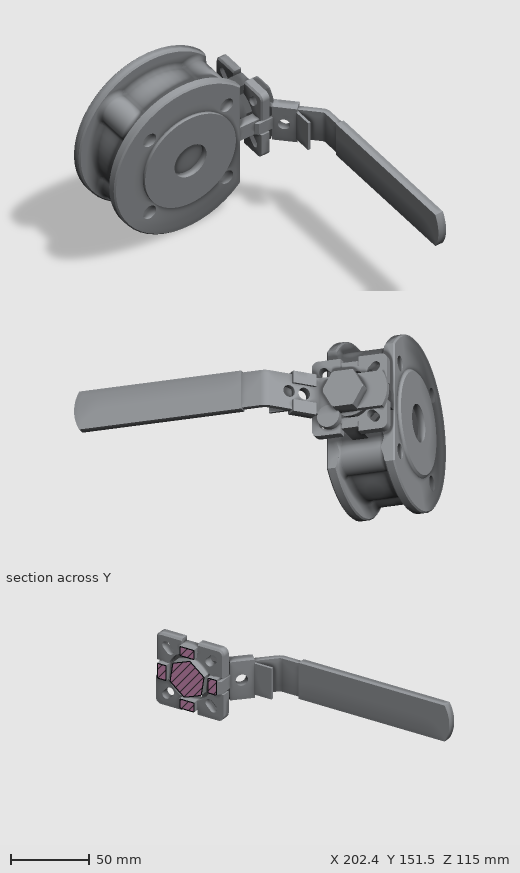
import cadquery as cq
import math


OVERLAP = 1.0

FLANGE_RADIUS = 57.5
FLANGE_OUTER_X = 23.0
FLANGE_THICKNESS = 7.0
FLANGE_INNER_X = FLANGE_OUTER_X - FLANGE_THICKNESS
FLANGE_CHAMFER = 1.0
FLAT_Y = 41.2
BARREL_RADIUS = 45.0
VALLEY_FILLET = 3.3
ROOT_FILLET = 2.9
BOLT_CIRCLE = 85.0
BOLT_HOLE_DIAMETER = 10.11
BOLT_LOBE_RADIUS = 11.0
FACE_RADIUS = 71.0 / 2
INLET_FACE_X = -24.8
INLET_FACE_CHAMFER = 2.0
OUTLET_FACE_X = 25.5
BORE_DIAMETER = 25.0
BORE_DEPTH = 5.0

PLATE_SIZE = 51.0
PLATE_BOTTOM_Y = 55.5
PLATE_TOP_Y = 61.8
PLATE_CORNER_RADIUS = 4.0
PLATE_CHAMFER = 1.2
PLATE_HOLE_DIAMETER = 33.0
POST_WIDTH = 11.0
POST_INNER = 15.5
POST_OUTER = 22.4
NOTCH_WIDTH = 12.0
NOTCH_FLOOR = 19.0
SLOT_WIDTH = 6.0
SLOT_INNER_RADIUS = 42.0 / 2
SLOT_OUTER_RADIUS = 50.0 / 2

HUB_DIAMETER = 33.0
HUB_TOP_Y = 44.1
NECK_DIAMETER = 15.09
COLLAR_DIAMETER = 29.36
COLLAR_BOTTOM_Y = 47.1
COLLAR_TOP_Y = 52.0
NUT_ACROSS_CORNERS = 27.8
GLAND_NUT_TURN = 39.0
NUT_TOP_Y = 75.1
NUT_CHAMFER = 0.6

LEVER_THICKNESS = 4.0
LEVER_WIDTH = 24.0
LEVER_START_X = -27.3
LEVER_LOW_TOP_Y = 66.8
LEVER_HIGH_TOP_Y = 92.98
LEVER_BEND_X = 19.6
LEVER_BEND_ANGLE = 45.0
LEVER_BEND_INNER_RADIUS = 3.0
END_SAGITTA = 3.5
GRIP_START_X = 61.75
GRIP_END_X = 175.12
GRIP_WIDTH = 26.0
GRIP_THICKNESS = 6.0
LUG_DIAMETER = 15.0
LUG_X = 12.5
LUG_Z = -14.8
LUG_BOTTOM_Y = 62.4
LUG_TOP_Y = 67.4

SLIDER_LENGTH = 16.3
SLIDER_THICKNESS = 7.7
SLIDER_WIDTH = 27.5
SLIDER_START = 1.9
SLIDER_SLOT_WIDTH = 11.4
LOCK_HOLE_DIAMETER = 8.0
LOCK_HOLE_OFFSETS = (9.6, 20.3)
TAB_START_X = 34.0
TAB_END_X = 49.3
TAB_BOTTOM_Y = 75.0
TAB_THICKNESS = 1.8
TAB_WIDTH = 22.4
LATCH_INNER_X = 23.2
LATCH_OUTER_X = 25.4
LATCH_CHAMFER = 1.8
LATCH_BOTTOM_Y = 51.6
LATCH_TOP_Y = 66.0
LATCH_WIDTH = 9.0

LEVER_LOW_BOTTOM_Y = LEVER_LOW_TOP_Y - LEVER_THICKNESS


def box(x_range, y_range, z_range):
    """Axis-aligned block between the given limits."""
    size = [high - low for low, high in (x_range, y_range, z_range)]
    corner = (x_range[0], y_range[0], z_range[0])
    return cq.Workplane("XY").box(*size, centered=False).translate(corner)


def along_bore(x_start):
    """Work plane square to the bore: local axes are Y and Z, extruding toward +X."""
    return cq.Workplane("YZ", origin=(x_start, 0, 0))


def along_stem(y_top):
    """Work plane square to the stem: local axes are X and Z, extruding toward -Y."""
    return cq.Workplane("XZ", origin=(0, y_top, 0))


def stem_disc(diameter, y_bottom, y_top):
    """Cylinder about the stem axis."""
    return along_stem(y_top).circle(diameter / 2).extrude(y_top - y_bottom)


def stem_hexagon(y_bottom, y_top):
    """Hexagonal prism about the stem axis with corners on +X and -X."""
    return along_stem(y_top).polygon(6, NUT_ACROSS_CORNERS).extrude(y_top - y_bottom)


def bolt_points():
    """Y, Z places of the four bolt holes."""
    offset = BOLT_CIRCLE / 2 * math.sqrt(0.5)
    return [(y, z) for y in (-offset, offset) for z in (-offset, offset)]


def centred_selector(half_x, half_yz, whole_edge):
    """Select edges inside a box about the origin, by their middle or as a whole."""
    low = (-half_x, -half_yz, -half_yz)
    high = (half_x, half_yz, half_yz)
    return cq.selectors.BoxSelector(low, high, boundingbox=whole_edge)


def make_barrel():
    """Drum between the flanges, bulging around each bolt hole."""
    length = 2 * FLANGE_INNER_X
    plane = along_bore(-FLANGE_INNER_X)
    barrel = plane.circle(BARREL_RADIUS).extrude(length)
    for y, z in bolt_points():
        barrel = barrel.union(plane.moveTo(y, z).circle(BOLT_LOBE_RADIUS).extrude(length))
    valleys = centred_selector(OVERLAP, FLANGE_RADIUS, False)
    return barrel.edges("|X").edges(valleys).fillet(VALLEY_FILLET)


def make_flat_cutter():
    """Cutter for the flat on the stem side, with its outer edges bevelled."""
    outer_x = FLANGE_OUTER_X + FLANGE_CHAMFER
    profile = [
        (-outer_x, FLAT_Y - 2 * FLANGE_CHAMFER),
        (-FLANGE_OUTER_X + FLANGE_CHAMFER, FLAT_Y),
        (FLANGE_OUTER_X - FLANGE_CHAMFER, FLAT_Y),
        (outer_x, FLAT_Y - 2 * FLANGE_CHAMFER),
        (outer_x, 2 * FLANGE_RADIUS),
        (-outer_x, 2 * FLANGE_RADIUS),
    ]
    return cq.Workplane("XY").polyline(profile).close().extrude(FLANGE_RADIUS, both=True)


def make_body():
    """Barrel with two flanges, raised faces, blind bores and bolt holes."""
    body = make_barrel()
    for x_start in (-FLANGE_OUTER_X, FLANGE_INNER_X):
        flange = along_bore(x_start).circle(FLANGE_RADIUS).extrude(FLANGE_THICKNESS)
        body = body.union(flange.faces("<X or >X").chamfer(FLANGE_CHAMFER))
    barrel_reach = BARREL_RADIUS + ROOT_FILLET
    roots = centred_selector(FLANGE_INNER_X + OVERLAP, barrel_reach, True)
    body = body.edges(roots).edges("not |X").fillet(ROOT_FILLET)
    body = body.cut(make_flat_cutter())

    inlet_height = -FLANGE_OUTER_X - INLET_FACE_X
    inlet = along_bore(INLET_FACE_X).circle(FACE_RADIUS).extrude(inlet_height + OVERLAP)
    inlet = inlet.faces("<X").chamfer(INLET_FACE_CHAMFER)
    outlet_height = OUTLET_FACE_X - FLANGE_OUTER_X
    outlet = along_bore(FLANGE_OUTER_X).circle(FACE_RADIUS).extrude(outlet_height)
    body = body.union(inlet).union(outlet)

    for x_start in (INLET_FACE_X, OUTLET_FACE_X - BORE_DEPTH):
        body = body.cut(along_bore(x_start).circle(BORE_DIAMETER / 2).extrude(BORE_DEPTH))
    holes = along_bore(-FLANGE_OUTER_X).pushPoints(bolt_points())
    return body.cut(holes.circle(BOLT_HOLE_DIAMETER / 2).extrude(2 * FLANGE_OUTER_X))


def make_plate():
    """Square mounting plate; the outline is chamfered underneath on the +Z half."""
    thickness = PLATE_TOP_Y - PLATE_BOTTOM_Y
    plain = along_stem(PLATE_TOP_Y).rect(PLATE_SIZE, PLATE_SIZE).extrude(thickness)
    plain = plain.edges("|Y").fillet(PLATE_CORNER_RADIUS)
    chamfered = plain.faces("<Y").chamfer(PLATE_CHAMFER)
    side = (-PLATE_SIZE, PLATE_SIZE)
    height = (PLATE_BOTTOM_Y, PLATE_TOP_Y)
    plate = plain.intersect(box(side, height, (-PLATE_SIZE, 0)))
    plate = plate.union(chamfered.intersect(box(side, height, (0, PLATE_SIZE))))

    slot_length = SLOT_OUTER_RADIUS - SLOT_INNER_RADIUS + SLOT_WIDTH
    slot_middle = (SLOT_OUTER_RADIUS + SLOT_INNER_RADIUS) / 2
    slot = along_stem(PLATE_TOP_Y).moveTo(slot_middle, 0).slot2D(slot_length, SLOT_WIDTH)
    slot = slot.extrude(thickness)
    plate = plate.cut(stem_disc(PLATE_HOLE_DIAMETER, PLATE_BOTTOM_Y, PLATE_TOP_Y))
    half_notch = NOTCH_WIDTH / 2
    notch = box((NOTCH_FLOOR, PLATE_SIZE), height, (-half_notch, half_notch))
    for quarter in range(4):
        turn = 90 * quarter
        plate = plate.cut(notch.rotate((0, 0, 0), (0, 1, 0), turn))
        plate = plate.cut(slot.rotate((0, 0, 0), (0, 1, 0), turn + 45))
    return plate


def make_mount():
    """Mounting plate on four posts that stand on the flat of the body."""
    mount = make_plate()
    half_width = POST_WIDTH / 2
    post = box((POST_INNER, POST_OUTER), (FLAT_Y - OVERLAP, PLATE_TOP_Y), (-half_width, half_width))
    for quarter in range(4):
        mount = mount.union(post.rotate((0, 0, 0), (0, 1, 0), 90 * quarter))
    return mount


def make_stem():
    """Hub, neck, collar and gland nut under the plate, lever nut on top."""
    hub = stem_disc(HUB_DIAMETER, FLAT_Y - OVERLAP, HUB_TOP_Y)
    neck = stem_disc(NECK_DIAMETER, HUB_TOP_Y, LEVER_LOW_TOP_Y)
    collar = stem_disc(COLLAR_DIAMETER, COLLAR_BOTTOM_Y, COLLAR_TOP_Y)
    washer = stem_disc(COLLAR_DIAMETER, PLATE_TOP_Y, LEVER_LOW_BOTTOM_Y)
    gland = stem_hexagon(COLLAR_TOP_Y, PLATE_TOP_Y)
    gland = gland.rotate((0, 0, 0), (0, 1, 0), GLAND_NUT_TURN)
    nut = stem_hexagon(LEVER_LOW_TOP_Y, NUT_TOP_Y)
    crown = stem_disc(NUT_ACROSS_CORNERS, LEVER_LOW_TOP_Y, NUT_TOP_Y)
    nut = nut.intersect(crown.faces(">Y").chamfer(NUT_CHAMFER))
    return hub.union(neck).union(collar).union(washer).union(gland).union(nut)


def round_bends(bar, points, radius):
    """Fillet the edges of the bar that run along Z through the given XY points."""
    for x, y in points:
        bend = cq.selectors.NearestToPointSelector((x, y, 0))
        bar = bar.edges(bend).fillet(radius)
    return bar


def make_lever_bar():
    """Cranked flat bar with an arched end behind the stem."""
    half_angle = math.radians(LEVER_BEND_ANGLE / 2)
    rise = LEVER_HIGH_TOP_Y - LEVER_LOW_TOP_Y
    high_bend_x = LEVER_BEND_X + rise / math.tan(2 * half_angle)
    bend_shift = LEVER_THICKNESS * math.tan(half_angle)
    high_bottom_y = LEVER_HIGH_TOP_Y - LEVER_THICKNESS
    side_profile = [
        (LEVER_START_X, LEVER_LOW_TOP_Y),
        (LEVER_BEND_X, LEVER_LOW_TOP_Y),
        (high_bend_x, LEVER_HIGH_TOP_Y),
        (GRIP_START_X, LEVER_HIGH_TOP_Y),
        (GRIP_START_X, high_bottom_y),
        (high_bend_x + bend_shift, high_bottom_y),
        (LEVER_BEND_X + bend_shift, LEVER_LOW_BOTTOM_Y),
        (LEVER_START_X, LEVER_LOW_BOTTOM_Y),
    ]
    bar = cq.Workplane("XY").polyline(side_profile).close().extrude(LEVER_WIDTH / 2, both=True)
    inner_bends = [side_profile[1], side_profile[5]]
    outer_bends = [side_profile[2], side_profile[6]]
    bar = round_bends(bar, inner_bends, LEVER_BEND_INNER_RADIUS)
    bar = round_bends(bar, outer_bends, LEVER_BEND_INNER_RADIUS + LEVER_THICKNESS)
    outline = rounded_strip(LEVER_WIDTH, GRIP_START_X, LEVER_START_X, LEVER_LOW_BOTTOM_Y, LEVER_HIGH_TOP_Y)
    return bar.intersect(outline)


def rounded_strip(width, square_x, tip_x, y_bottom, y_top):
    """Strip along X with a square end and an arched end."""
    half = width / 2
    arch_x = tip_x - math.copysign(END_SAGITTA, tip_x)
    outline = along_stem(y_top).moveTo(square_x, half).lineTo(arch_x, half)
    outline = outline.threePointArc((tip_x, 0), (arch_x, -half)).lineTo(square_x, -half)
    return outline.close().extrude(y_top - y_bottom)


def make_grip():
    """Flat sleeve over the end of the lever bar."""
    middle_y = LEVER_HIGH_TOP_Y - LEVER_THICKNESS / 2
    bottom_y = middle_y - GRIP_THICKNESS / 2
    top_y = middle_y + GRIP_THICKNESS / 2
    return rounded_strip(GRIP_WIDTH, GRIP_START_X, GRIP_END_X, bottom_y, top_y)


def make_stop_lug():
    """Round lug at the -Z side of the lever."""
    sketch = along_stem(LUG_TOP_Y).moveTo(LUG_X, LUG_Z).circle(LUG_DIAMETER / 2)
    return sketch.extrude(LUG_TOP_Y - LUG_BOTTOM_Y)


def slope_plane():
    """Work plane at the lower bend: local x runs up the slope, local y is square to it."""
    angle = math.radians(LEVER_BEND_ANGLE)
    origin = (LEVER_BEND_X, LEVER_LOW_TOP_Y, 0)
    return cq.Plane(origin=origin, xDir=(math.cos(angle), math.sin(angle), 0), normal=(0, 0, 1))


def on_slope(length, thickness, width, start, bottom):
    """Block lying along the slope of the lever."""
    centre = (start + length / 2, bottom + thickness / 2)
    sketch = cq.Workplane(slope_plane()).center(*centre).rect(length, thickness)
    return sketch.extrude(width / 2, both=True)


def lock_hole(offset):
    """Cutter for a padlock hole square to the slope."""
    start = slope_plane().toWorldCoords((offset, -SLIDER_THICKNESS, 0))
    hole_plane = cq.Plane(origin=start.toTuple(), xDir=(0, 0, 1), normal=slope_plane().yDir.toTuple())
    return cq.Workplane(hole_plane).circle(LOCK_HOLE_DIAMETER / 2).extrude(2 * SLIDER_THICKNESS)


def make_slider():
    """Locking sleeve with a top slot, a finger tab and a latch reaching into the plate notch."""
    wall = (SLIDER_THICKNESS - LEVER_THICKNESS) / 2
    bottom = -LEVER_THICKNESS - wall
    slider = on_slope(SLIDER_LENGTH, SLIDER_THICKNESS, SLIDER_WIDTH, SLIDER_START, bottom)
    slider = slider.cut(on_slope(SLIDER_LENGTH, wall, SLIDER_SLOT_WIDTH, SLIDER_START, 0))
    passage = on_slope(SLIDER_LENGTH, LEVER_THICKNESS, LEVER_WIDTH, SLIDER_START, -LEVER_THICKNESS)
    slider = slider.cut(passage)
    tab_height = (TAB_BOTTOM_Y, TAB_BOTTOM_Y + TAB_THICKNESS)
    tab = box((TAB_START_X, TAB_END_X), tab_height, (-TAB_WIDTH / 2, TAB_WIDTH / 2))
    latch_height = (LATCH_BOTTOM_Y, LATCH_TOP_Y)
    latch = box((LATCH_INNER_X, LATCH_OUTER_X), latch_height, (-LATCH_WIDTH / 2, LATCH_WIDTH / 2))
    latch = latch.edges(">X and <Y").chamfer(LATCH_CHAMFER)
    return slider.union(tab).union(latch)


def make_lever():
    """Lever bar, grip, stop lug and locking slider with their padlock holes."""
    near_offset, far_offset = LOCK_HOLE_OFFSETS
    bar = make_lever_bar().cut(lock_hole(far_offset))
    lever = bar.union(make_slider()).cut(lock_hole(near_offset))
    return lever.union(make_grip()).union(make_stop_lug())


result = make_body().union(make_mount()).union(make_stem()).union(make_lever())